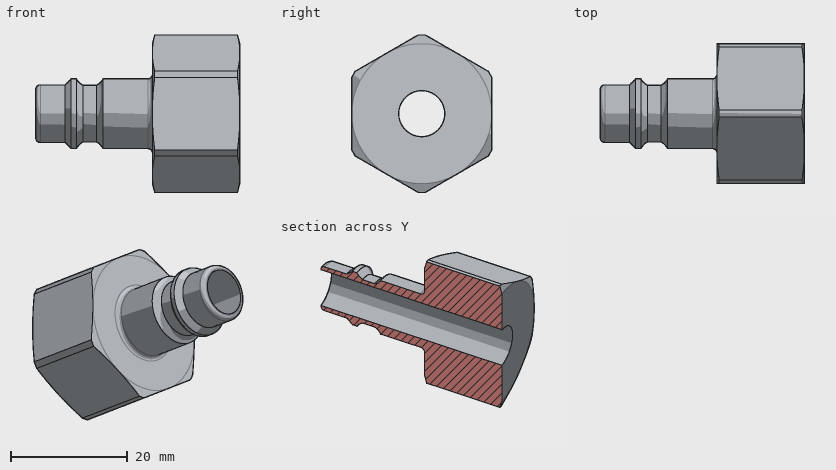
import cadquery as cq
import math

TOTAL_LENGTH = 35.0
HEX_LENGTH = 15.0
HEX_START = TOTAL_LENGTH - HEX_LENGTH
COLLAR_START = 6.1
COLLAR_END = 7.0
GROOVE_START = 8.1
GROOVE_END = 10.45

BORE_DIAMETER = 7.85
TIP_DIAMETER = 9.9
GROOVE_DIAMETER = 9.75
SHANK_DIAMETER = 12.0

TIP_FILLET = 0.8
SHANK_FILLET = 0.75
GROOVE_FLANK_RADIUS = 2.75

HEX_ACROSS_FLATS = 24.0
HEX_ACROSS_CORNERS = 27.05
HEX_SIDES = 6
HEX_CHAMFER_ANGLE = 15.0

TIP_RADIUS = TIP_DIAMETER / 2
GROOVE_RADIUS = GROOVE_DIAMETER / 2
SHANK_RADIUS = SHANK_DIAMETER / 2
CORNER_RADIUS = HEX_ACROSS_CORNERS / 2
FLAT_RADIUS = HEX_ACROSS_FLATS / 2

FRONT_CONE_START = COLLAR_START - (SHANK_RADIUS - TIP_RADIUS)
SHANK_START = GROOVE_END + (GROOVE_START - COLLAR_END)


def revolve_about_x(profile):
    """Turn a closed half profile, drawn as (x, radius), about the X axis."""
    return profile.close().revolve(360, (0, 0, 0), (1, 0, 0))


def make_plug():
    """Turned plug with rounded tip, locking collar, groove and shank."""
    root_radius = SHANK_RADIUS + SHANK_FILLET
    profile = (
        cq.Workplane("XY")
        .lineTo(0, TIP_RADIUS - TIP_FILLET)
        .radiusArc((TIP_FILLET, TIP_RADIUS), TIP_FILLET)
        .lineTo(FRONT_CONE_START, TIP_RADIUS)
        .lineTo(COLLAR_START, SHANK_RADIUS)
        .lineTo(COLLAR_END, SHANK_RADIUS)
        .radiusArc((GROOVE_START, GROOVE_RADIUS), -GROOVE_FLANK_RADIUS)
        .lineTo(GROOVE_END, GROOVE_RADIUS)
        .radiusArc((SHANK_START, SHANK_RADIUS), -GROOVE_FLANK_RADIUS)
        .lineTo(HEX_START - SHANK_FILLET, SHANK_RADIUS)
        .radiusArc((HEX_START, root_radius), -SHANK_FILLET)
        .lineTo(TOTAL_LENGTH, root_radius)
        .lineTo(TOTAL_LENGTH, 0)
    )
    return revolve_about_x(profile)


def make_hex():
    """Hexagonal body with flats facing +/-Y and its corners turned down and chamfered."""
    sharp_corner_diameter = HEX_ACROSS_FLATS / math.cos(math.pi / HEX_SIDES)
    half_side_turn = 180 / HEX_SIDES
    prism = (
        cq.Workplane("YZ", origin=(HEX_START, 0, 0))
        .transformed(rotate=(0, 0, half_side_turn))
        .polygon(HEX_SIDES, sharp_corner_diameter)
        .extrude(HEX_LENGTH)
    )
    chamfer_depth = (CORNER_RADIUS - FLAT_RADIUS) * math.tan(math.radians(HEX_CHAMFER_ANGLE))
    envelope = (
        cq.Workplane("XY")
        .moveTo(HEX_START, 0)
        .lineTo(HEX_START, FLAT_RADIUS)
        .lineTo(HEX_START + chamfer_depth, CORNER_RADIUS)
        .lineTo(TOTAL_LENGTH - chamfer_depth, CORNER_RADIUS)
        .lineTo(TOTAL_LENGTH, FLAT_RADIUS)
        .lineTo(TOTAL_LENGTH, 0)
    )
    return prism.intersect(revolve_about_x(envelope))


def make_bore():
    """Straight bore through the whole length."""
    return cq.Workplane("YZ").circle(BORE_DIAMETER / 2).extrude(TOTAL_LENGTH)


result = make_plug().union(make_hex()).cut(make_bore())